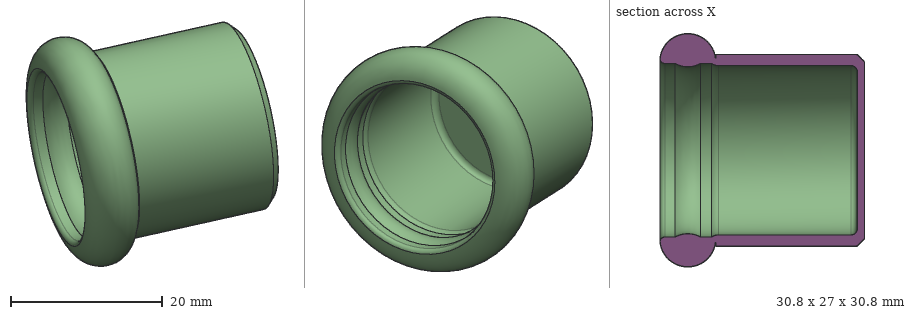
import cadquery as cq
import math

total_length = 27.0
bead_radius = 15.4
bead_width = 7.4
bead_round = bead_width / 2
tube_radius = 25.3 / 2
tube_chamfer = 1.0

mouth_radius = 12.13
lip_round = 0.7
ridge_radius = 11.0
ridge_width = 3.33
seat_end = 6.85
blend_length = 0.92
bore_radius = 22.3 / 2
floor_round = 0.8
floor_thickness = 1.0

seat_radius = mouth_radius - lip_round
bore_depth = total_length - floor_thickness
ridge_middle = bead_width / 2
ridge_start = ridge_middle - ridge_width / 2
ridge_end = ridge_middle + ridge_width / 2
diagonal = math.sqrt(0.5)


def revolve_about_y(profile):
    """Turn a closed radius-by-length outline into a solid around the Y axis."""
    return profile.close().revolve(360, (0, 0, 0), (0, 1, 0))


def outer_body():
    """Chamfered tube with a fully rounded bead around the open end."""
    bead_centre = bead_radius - bead_round
    profile = (
        cq.Workplane("XY")
        .lineTo(bead_centre, 0)
        .threePointArc((bead_radius, bead_round), (bead_centre, bead_width))
        .lineTo(tube_radius, bead_width)
        .lineTo(tube_radius, total_length - tube_chamfer)
        .lineTo(tube_radius - tube_chamfer, total_length)
        .lineTo(0, total_length)
    )
    return revolve_about_y(profile)


def inner_cavity():
    """Blind bore entered through a rounded lip, an inward ridge and a blend."""
    lip_sag = lip_round * (1 - diagonal)
    floor_sag = floor_round * (1 - diagonal)
    blend_step = seat_radius - bore_radius
    blend_round = (blend_length**2 + blend_step**2) / (2 * blend_step)
    half_angle = math.asin(blend_length / blend_round) / 2
    blend_middle = (
        bore_radius + blend_round * (1 - math.cos(half_angle)),
        seat_end + blend_length - blend_round * math.sin(half_angle),
    )
    profile = (
        cq.Workplane("XY")
        .lineTo(mouth_radius, 0)
        .threePointArc((seat_radius + lip_sag, lip_sag), (seat_radius, lip_round))
        .lineTo(seat_radius, ridge_start)
        .threePointArc((ridge_radius, ridge_middle), (seat_radius, ridge_end))
        .lineTo(seat_radius, seat_end)
        .threePointArc(blend_middle, (bore_radius, seat_end + blend_length))
        .lineTo(bore_radius, bore_depth - floor_round)
        .threePointArc(
            (bore_radius - floor_sag, bore_depth - floor_sag),
            (bore_radius - floor_round, bore_depth),
        )
        .lineTo(0, bore_depth)
    )
    return revolve_about_y(profile)


result = outer_body().cut(inner_cavity())